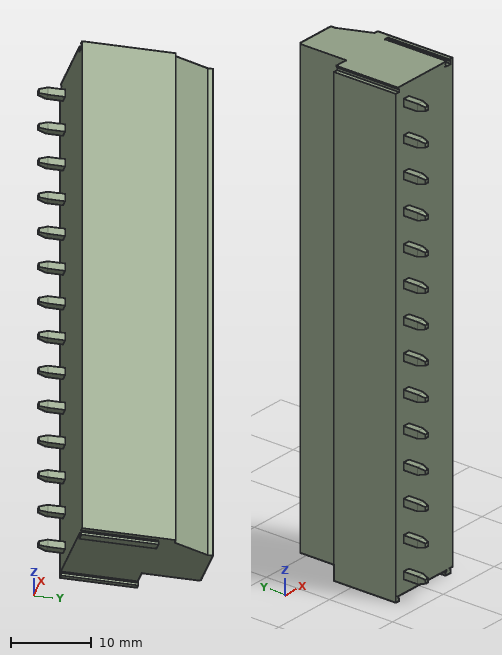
import cadquery as cq

width = 11.2
depth = 20.55
height = 70.65

joint_size = 0.7
housing_height = height - joint_size
pin_length = 3.25
base_back = 13.1
upper_left = 2.4
upper_right = 8.7
corner_chamfer = 0.2
slope_start_y = 19.85
slope_end_x = 10.6
slope_end_y = 15.2

pole_count = 14
pole_pitch = housing_height / pole_count
pin_x = 2.05
pin_size = 1.05
tip_length = 1.05
tip_end_size = 0.6

joint_flare = 0.2
flare_height = 0.35
edge_joint_wide = 0.65
inner_joint_wide = 1.05
inner_joint_x = 10.3


def make_housing():
    """Stepped body with a sloped upper right side."""
    outline = [
        (0, pin_length),
        (width, pin_length),
        (width, slope_end_y),
        (slope_end_x, slope_end_y),
        (upper_right, slope_start_y),
        (upper_right, depth),
        (upper_left + corner_chamfer, depth),
        (upper_left, depth - corner_chamfer),
        (upper_left, base_back),
        (0, base_back),
    ]
    housing = cq.Workplane("XY").polyline(outline).close().extrude(housing_height)
    return housing.translate((0, 0, joint_size))


def make_joints(base_z):
    """Both dovetail bars, from base_z (wide) up to base_z + joint_size (narrow)."""
    top_z = base_z + joint_size
    flare_z = top_z - flare_height
    inner_left = inner_joint_x - inner_joint_wide / 2
    inner_right = inner_joint_x + inner_joint_wide / 2
    edge_outline = [
        (0, base_z),
        (edge_joint_wide, base_z),
        (edge_joint_wide, flare_z),
        (edge_joint_wide - joint_flare, top_z),
        (0, top_z),
    ]
    inner_outline = [
        (inner_left, base_z),
        (inner_right, base_z),
        (inner_right, flare_z),
        (inner_right - joint_flare, top_z),
        (inner_left + joint_flare, top_z),
        (inner_left, flare_z),
    ]
    plane = cq.Workplane("XZ", origin=(0, pin_length, 0))
    bar_length = base_back - pin_length
    edge_bar = plane.polyline(edge_outline).close().extrude(-bar_length)
    inner_bar = plane.polyline(inner_outline).close().extrude(-bar_length)
    return edge_bar.add(inner_bar).combine()


def make_pin(center_z):
    """Square pin with a tapered tip, pointing along -Y."""
    shank = (
        cq.Workplane("XZ", origin=(pin_x, pin_length, center_z))
        .rect(pin_size, pin_size)
        .extrude(pin_length - tip_length)
    )
    tip = (
        cq.Workplane("XZ", origin=(pin_x, tip_length, center_z))
        .rect(pin_size, pin_size)
        .workplane(offset=tip_length)
        .rect(tip_end_size, tip_end_size)
        .loft(ruled=True)
    )
    return shank.union(tip)


result = make_housing()
result = result.cut(make_joints(height - joint_size))
result = result.union(make_joints(0))
for pole in range(pole_count):
    result = result.union(make_pin(joint_size + (pole + 0.5) * pole_pitch))